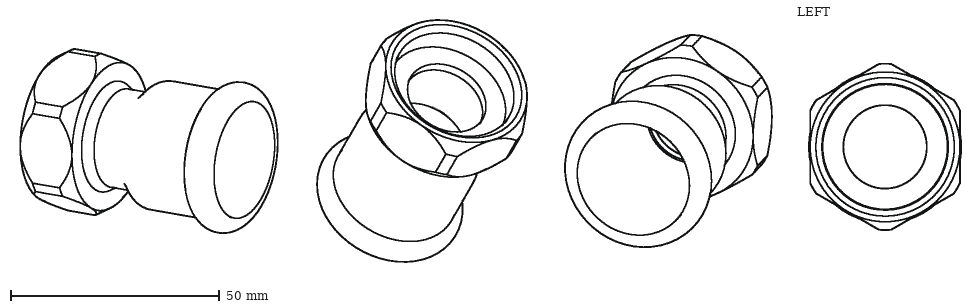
import cadquery as cq
import math

total_length = 52.0

nut_length = 14.5
nut_across_flats = 36.0
nut_corner_radius = 20.0
nut_face_radius = nut_across_flats / 2
nut_chamfer_angle = math.radians(30)
nut_sides = 6
thread_radius = 15.2
thread_mouth_radius = 16.65
thread_mouth_angle = math.radians(45)

flange_face_x = 7.0
flange_radius = 15.0
flange_thickness = 2.5
flange_bore_radius = 10.0

wall = 1.5
neck_radius = 12.0
neck_start_x = 17.1
neck_end_x = 23.0
collar_angle = math.radians(30)
socket_radius = 15.7
shoulder_angle = math.radians(45)
shoulder_foot_fillet = 2.0
shoulder_top_fillet = 3.6

bead_radius = 18.35
bead_tube_radius = 3.8
bead_center_to_end = 3.75

flange_back_x = flange_face_x + flange_thickness
bead_center_x = total_length - bead_center_to_end
bead_center_radius = bead_radius - bead_tube_radius
neck_bore_radius = neck_radius - wall
socket_bore_radius = socket_radius - wall


def revolve_about_x(profile):
    """Turn a closed (x, radius) profile a full turn about the X axis."""
    return profile.close().revolve(360, (0, 0, 0), (1, 0, 0))


def add_shoulder(profile, foot_x, foot_radius, top_radius, foot_fillet, top_fillet):
    """Continue a profile with a conical shoulder blended by an arc at its foot and its top."""
    sine = math.sin(shoulder_angle)
    drop = 1 - math.cos(shoulder_angle)
    half_sine = math.sin(shoulder_angle / 2)
    half_drop = 1 - math.cos(shoulder_angle / 2)
    cone_start = (foot_x + foot_fillet * sine, foot_radius + foot_fillet * drop)
    cone_end_radius = top_radius - top_fillet * drop
    cone_end_x = cone_start[0] + (cone_end_radius - cone_start[1]) / math.tan(shoulder_angle)
    top_x = cone_end_x + top_fillet * sine
    foot_middle = (foot_x + foot_fillet * half_sine, foot_radius + foot_fillet * half_drop)
    top_middle = (top_x - top_fillet * half_sine, top_radius - top_fillet * half_drop)
    return (
        profile.lineTo(foot_x, foot_radius)
        .threePointArc(foot_middle, cone_start)
        .lineTo(cone_end_x, cone_end_radius)
        .threePointArc(top_middle, (top_x, top_radius))
    )


def make_nut():
    """Hexagon with its corners on Z, rounded to a cylinder and chamfered at both ends."""
    across_corners = nut_across_flats / math.cos(math.pi / nut_sides)
    hexagon = (
        cq.Workplane("YZ")
        .transformed(rotate=(0, 0, 90))
        .polygon(nut_sides, across_corners)
        .extrude(nut_length)
    )
    chamfer_length = (nut_corner_radius - nut_face_radius) / math.tan(nut_chamfer_angle)
    envelope = revolve_about_x(
        cq.Workplane("XY")
        .moveTo(0, 0)
        .lineTo(0, nut_face_radius)
        .lineTo(chamfer_length, nut_corner_radius)
        .lineTo(nut_length - chamfer_length, nut_corner_radius)
        .lineTo(nut_length, nut_face_radius)
        .lineTo(nut_length, 0)
    )
    return hexagon.intersect(envelope)


def make_thread_bore():
    """Plain opening for the nut's thread, with a conical mouth, down to the back of the flange."""
    mouth_depth = (thread_mouth_radius - thread_radius) / math.tan(thread_mouth_angle)
    return revolve_about_x(
        cq.Workplane("XY")
        .moveTo(0, 0)
        .lineTo(0, thread_mouth_radius)
        .lineTo(mouth_depth, thread_radius)
        .lineTo(flange_back_x, thread_radius)
        .lineTo(flange_back_x, 0)
    )


def make_tube_body():
    """Tube as a filled body: flange, conical collar, neck, shoulder, socket."""
    collar_radius = neck_radius + (neck_start_x - nut_length) * math.tan(collar_angle)
    profile = (
        cq.Workplane("XY")
        .moveTo(flange_face_x, 0)
        .lineTo(flange_face_x, flange_radius)
        .lineTo(flange_back_x, flange_radius)
        .lineTo(flange_back_x, collar_radius)
        .lineTo(nut_length, collar_radius)
        .lineTo(neck_start_x, neck_radius)
    )
    profile = add_shoulder(
        profile, neck_end_x, neck_radius, socket_radius, shoulder_foot_fillet, shoulder_top_fillet
    )
    profile = profile.lineTo(bead_center_x, socket_radius).lineTo(bead_center_x, 0)
    return revolve_about_x(profile)


def make_bead():
    """Bead of round section, cut just short of its full width by the flat end face."""
    end_edge_radius = bead_center_radius + math.sqrt(bead_tube_radius**2 - bead_center_to_end**2)
    start_x = bead_center_x - bead_tube_radius
    return revolve_about_x(
        cq.Workplane("XY")
        .moveTo(start_x, 0)
        .lineTo(start_x, bead_center_radius)
        .threePointArc((bead_center_x, bead_radius), (total_length, end_edge_radius))
        .lineTo(total_length, 0)
    )


def make_tube_bore():
    """Inside of the tube: narrow flange bore, neck bore, then the socket at constant wall."""
    profile = (
        cq.Workplane("XY")
        .moveTo(flange_face_x, 0)
        .lineTo(flange_face_x, flange_bore_radius)
        .lineTo(flange_back_x, flange_bore_radius)
        .lineTo(flange_back_x, neck_bore_radius)
    )
    profile = add_shoulder(
        profile,
        neck_end_x,
        neck_bore_radius,
        socket_bore_radius,
        shoulder_foot_fillet + wall,
        shoulder_top_fillet - wall,
    )
    profile = profile.lineTo(total_length, socket_bore_radius).lineTo(total_length, 0)
    return revolve_about_x(profile)


nut = make_nut().cut(make_thread_bore())
tube = make_tube_body().union(make_bead())
result = nut.union(tube).cut(make_tube_bore())